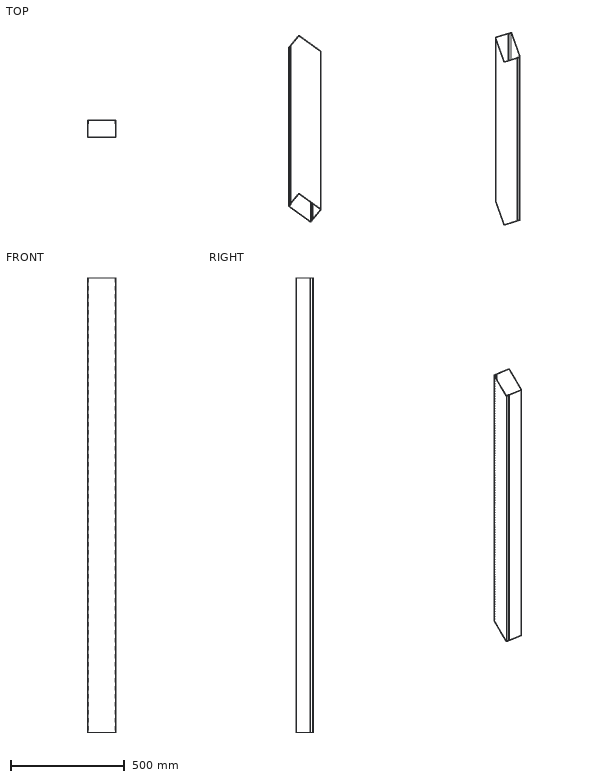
import cadquery as cq

WIDTH = 125.0
DEPTH = 75.0
LENGTH = 2000.0

WALL = 2.0
CORNER_RADIUS = 5.0
SKIRT_DEPTH = 12.0
SHOULDER_DEPTH = 5.0

INNER_RADIUS = CORNER_RADIUS - WALL
BACK_Y = DEPTH / 2
FRONT_Y = -DEPTH / 2
HALF_WIDTH = WIDTH / 2
SKIRT_END_Y = BACK_Y - SKIRT_DEPTH
SHOULDER_Y = SKIRT_END_Y - SHOULDER_DEPTH
CHANNEL_BACK_Y = BACK_Y - CORNER_RADIUS


def channel_profile(half_width, front_y, radius):
    """Trough outline that is narrowed by one sheet thickness next to the lid."""
    neck = half_width - WALL
    outline = [
        (-neck, CHANNEL_BACK_Y),
        (-neck, SKIRT_END_Y),
        (-half_width, SHOULDER_Y),
        (-half_width, front_y),
        (half_width, front_y),
        (half_width, SHOULDER_Y),
        (neck, SKIRT_END_Y),
        (neck, CHANNEL_BACK_Y),
    ]
    bar = cq.Workplane("XY").workplane(offset=-LENGTH / 2).polyline(outline).close().extrude(LENGTH)
    front_edges = bar.faces("<Y").edges("|Z")
    return bar.newObject(front_edges.vals()).fillet(radius)


def make_channel():
    """Trough open towards +Y, whose narrowed rims sit inside the lid."""
    outside = channel_profile(HALF_WIDTH, FRONT_Y, CORNER_RADIUS)
    inside = channel_profile(HALF_WIDTH - WALL, FRONT_Y + WALL, INNER_RADIUS)
    return outside.cut(inside)


def lid_profile(half_width, back_y, radius):
    """Bar from the end of the skirts to back_y, rounded along its two back edges."""
    return (
        cq.Workplane("XY")
        .workplane(offset=-LENGTH / 2)
        .center(0, (SKIRT_END_Y + back_y) / 2)
        .rect(2 * half_width, back_y - SKIRT_END_Y)
        .extrude(LENGTH)
        .faces(">Y")
        .edges("|Z")
        .fillet(radius)
    )


def make_lid():
    """Cover closing the +Y side, with skirts outside the channel's rims."""
    outside = lid_profile(HALF_WIDTH, BACK_Y, CORNER_RADIUS)
    inside = lid_profile(HALF_WIDTH - WALL, BACK_Y - WALL, INNER_RADIUS)
    return outside.cut(inside)


channel = make_channel()
lid = make_lid()

result = cq.Compound.makeCompound([channel.val(), lid.val()])